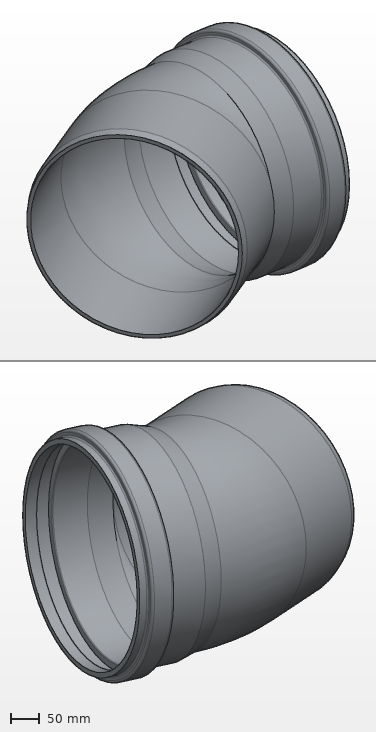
import cadquery as cq
import math


PIPE_OUTER_R = 400.35 / 2
PIPE_INNER_R = 378.35 / 2
SPIGOT_LENGTH = 165.0
SPIGOT_CHAMFER_LENGTH = 15.0
SPIGOT_CHAMFER_DEPTH = 4.0
BEND_ANGLE = 30.0
BEND_RADIUS = 191.7

SOCKET_OUTER_R = 421.4 / 2
SOCKET_INNER_R = 402.0 / 2
RING_OUTER_R = 447.1 / 2
GROOVE_R = 429.1 / 2
RING_WALL = RING_OUTER_R - GROOVE_R
LIP_OUTER_R = 421.1 / 2
LIP_INNER_R = 402.4 / 2

OUTER_TAPER_END = 37.0
INNER_TAPER_END = 44.0
RING_START = 104.0
RING_END = 149.0
RING_EDGE_FILLET = 5.0
RING_ROOT_FILLET = 3.0
GROOVE_START = RING_START + RING_WALL
GROOVE_LENGTH = 30.0
GROOVE_END = GROOVE_START + GROOVE_LENGTH
GROOVE_RIM_FILLET = 1.5
SOCKET_LENGTH = 166.0


def turned(profile):
    """Revolve a closed half profile, drawn as (radius, station), about the Y axis."""
    return profile.revolve(360, (0, 0, 0), (0, 1, 0))


def elbow(radius):
    """Disc swung about the bend pivot; the sliver beyond the pivot lies inside spigot and socket."""
    if radius > BEND_RADIUS:
        half_chord = math.sqrt(radius**2 - BEND_RADIUS**2)
        outline = (
            cq.Workplane("XZ")
            .moveTo(BEND_RADIUS, -half_chord)
            .threePointArc((-radius, 0), (BEND_RADIUS, half_chord))
            .close()
        )
    else:
        outline = cq.Workplane("XZ").circle(radius)
    return outline.revolve(BEND_ANGLE, (BEND_RADIUS, 1, 0), (BEND_RADIUS, 0, 0))


def at_elbow_end(body):
    """Carry a body from the start of the elbow to its end."""
    return body.rotate((BEND_RADIUS, 0, 0), (BEND_RADIUS, 0, 1), -BEND_ANGLE)


def spigot_outside():
    """Pipe cylinder with a long lead-in chamfer at its free end."""
    profile = (
        cq.Workplane("XY")
        .moveTo(0, -SPIGOT_LENGTH)
        .lineTo(PIPE_OUTER_R - SPIGOT_CHAMFER_DEPTH, -SPIGOT_LENGTH)
        .lineTo(PIPE_OUTER_R, SPIGOT_CHAMFER_LENGTH - SPIGOT_LENGTH)
        .lineTo(PIPE_OUTER_R, 0)
        .lineTo(0, 0)
        .close()
    )
    return turned(profile)


def spigot_bore():
    """Plain cylinder through the spigot."""
    return cq.Workplane("XZ").circle(PIPE_INNER_R).extrude(SPIGOT_LENGTH)


def socket_outside():
    """Taper, barrel, ring with rounded corners and lip, turned about the socket axis."""
    profile = (
        cq.Workplane("XY")
        .lineTo(PIPE_OUTER_R, 0)
        .lineTo(SOCKET_OUTER_R, OUTER_TAPER_END)
        .lineTo(SOCKET_OUTER_R, RING_START - RING_ROOT_FILLET)
        .radiusArc((SOCKET_OUTER_R + RING_ROOT_FILLET, RING_START), RING_ROOT_FILLET)
        .lineTo(RING_OUTER_R - RING_EDGE_FILLET, RING_START)
        .radiusArc((RING_OUTER_R, RING_START + RING_EDGE_FILLET), -RING_EDGE_FILLET)
        .lineTo(RING_OUTER_R, RING_END - RING_EDGE_FILLET)
        .radiusArc((RING_OUTER_R - RING_EDGE_FILLET, RING_END), -RING_EDGE_FILLET)
        .lineTo(LIP_OUTER_R + RING_ROOT_FILLET, RING_END)
        .radiusArc((LIP_OUTER_R, RING_END + RING_ROOT_FILLET), RING_ROOT_FILLET)
        .lineTo(LIP_OUTER_R, SOCKET_LENGTH)
        .lineTo(0, SOCKET_LENGTH)
        .close()
    )
    return at_elbow_end(turned(profile))


def socket_bore():
    """Taper, seat, seal groove with rounded rims and lip bore, turned about the socket axis."""
    profile = (
        cq.Workplane("XY")
        .lineTo(PIPE_INNER_R, 0)
        .lineTo(SOCKET_INNER_R, INNER_TAPER_END)
        .lineTo(SOCKET_INNER_R, GROOVE_START - GROOVE_RIM_FILLET)
        .radiusArc((SOCKET_INNER_R + GROOVE_RIM_FILLET, GROOVE_START), GROOVE_RIM_FILLET)
        .lineTo(GROOVE_R, GROOVE_START)
        .lineTo(GROOVE_R, GROOVE_END)
        .lineTo(LIP_INNER_R + GROOVE_RIM_FILLET, GROOVE_END)
        .radiusArc((LIP_INNER_R, GROOVE_END + GROOVE_RIM_FILLET), GROOVE_RIM_FILLET)
        .lineTo(LIP_INNER_R, SOCKET_LENGTH)
        .lineTo(0, SOCKET_LENGTH)
        .close()
    )
    return at_elbow_end(turned(profile))


outside = spigot_outside().union(elbow(PIPE_OUTER_R)).union(socket_outside())
bore = spigot_bore().union(elbow(PIPE_INNER_R)).union(socket_bore())
result = outside.cut(bore)